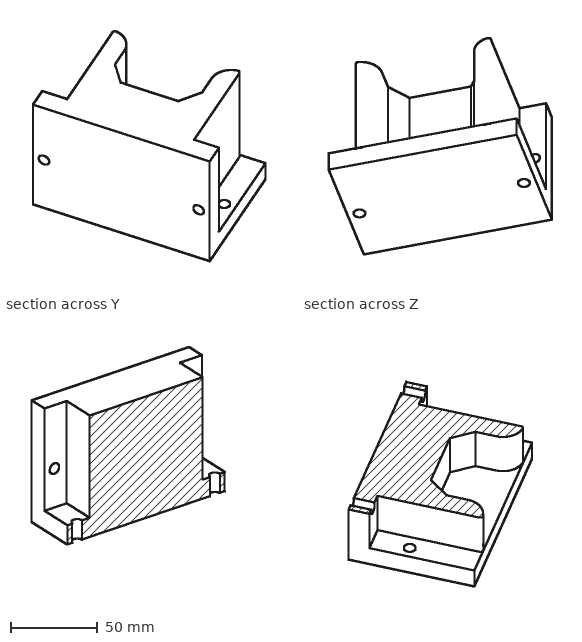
import cadquery as cq

length = 112.7
depth = 76.2
height = 79.3

plate_thickness = 12.7

flange_width = 15.9
block_width = length - 2 * flange_width

arm_width = 12.7
pocket_depth = 37.9
pocket_straight_depth = 25.5
pocket_corner_inset = 9.4
arm_tip_radius = 1.6

hole_diameter = 6.8
hole_edge_distance = 7.1
base_hole_y = 34.9
plate_hole_z = 38.1

half_length = length / 2
half_block = block_width / 2
half_pocket = half_block - arm_width
half_pocket_floor = half_pocket - pocket_corner_inset
hole_x_positions = (hole_edge_distance - half_length, half_length - hole_edge_distance)


def make_bracket():
    """L-shaped body: horizontal base plus upright front plate."""
    profile = [
        (0, 0),
        (depth, 0),
        (depth, plate_thickness),
        (plate_thickness, plate_thickness),
        (plate_thickness, height),
        (0, height),
    ]
    return cq.Workplane("YZ").polyline(profile).close().extrude(half_length, both=True)


def make_block():
    """Block standing on the base, with a rear pocket between two round-ended arms."""
    pocket_floor_y = depth - pocket_depth
    straight_end_y = depth - pocket_straight_depth
    round_start_y = depth - arm_width
    block = (
        cq.Workplane("XY")
        .moveTo(-half_block, 0)
        .lineTo(half_block, 0)
        .lineTo(half_block, depth)
        .radiusArc((half_pocket, round_start_y), -arm_width)
        .lineTo(half_pocket, straight_end_y)
        .lineTo(half_pocket_floor, pocket_floor_y)
        .lineTo(-half_pocket_floor, pocket_floor_y)
        .lineTo(-half_pocket, straight_end_y)
        .lineTo(-half_pocket, round_start_y)
        .radiusArc((-half_block, depth), -arm_width)
        .close()
        .extrude(height)
    )
    return block.edges("|Z").edges(">Y").fillet(arm_tip_radius)


def drill_holes(body):
    """Two holes down through the base and two back through the front plate."""
    hole_radius = hole_diameter / 2
    for x in hole_x_positions:
        base_hole = cq.Workplane("XY").center(x, base_hole_y).circle(hole_radius).extrude(plate_thickness)
        plate_hole = cq.Workplane("XZ").center(x, plate_hole_z).circle(hole_radius).extrude(-plate_thickness)
        body = body.cut(base_hole).cut(plate_hole)
    return body


result = drill_holes(make_bracket().union(make_block()))